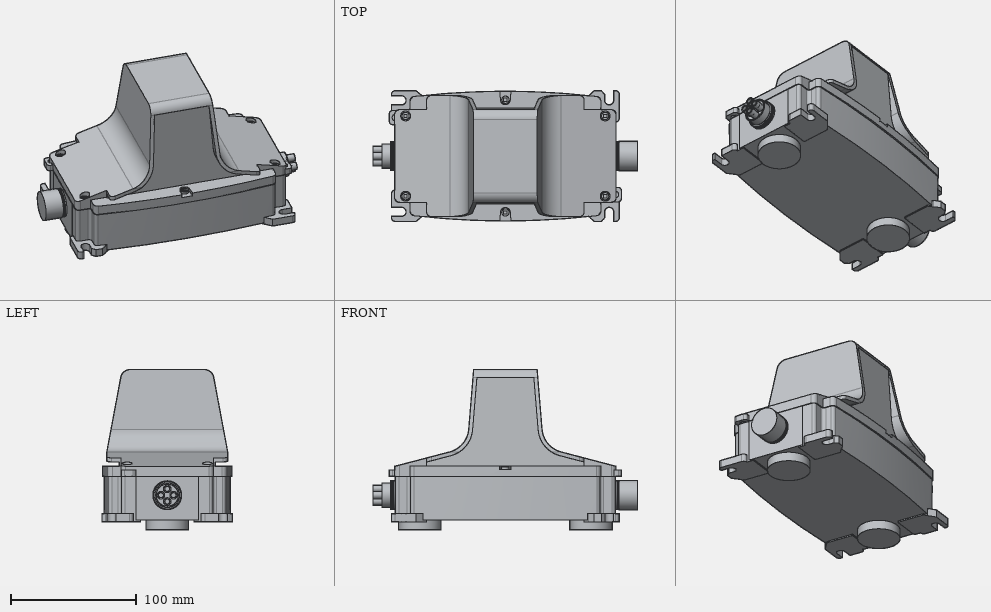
import cadquery as cq
import math

foot_bottom_z = 0.0
pad_bottom_z = 6.4
base_bottom_z = 7.6
pad_top_z = 12.9
base_top_z = 42.5
lug_top_z = 47.6
lid_top_z = 50.7
hood_top_z = 127.5

lid_end_x, lid_end_y = 88.0, 36.9
lid_side_x, lid_side_y = 75.9, 47.0
lid_crown_y = 51.6
lid_corner_radius = 3.8
base_inset = 0.6
base_crown_inset = 1.3
base_corner_radius = 2.8
end_panel_half_width = 25.0
end_panel_height = 0.2

hood_top_half_x = 25.3
hood_wall_angle = 4.7
hood_slope_angle = 14.7
hood_end_z = 50.5
hood_waist_radius = 20.0
hood_flange_x = 62.6
hood_flange_y = 48.1
hood_flange_corner_radius = 3.7
hood_draft_start_z = 62.0
hood_draft_angle = 10.6
hood_crown_radius = 8.0
flange_thickness = 3.2
flange_roof_thickness = 6.6
core_bottom_y, core_top_y = 38.4, 36.8

foot_radius = 17.0
foot_x = 68.0
pad_outer_x, pad_outer_y = 90.6, 52.0
pad_inner_x, pad_inner_y = 62.6, 21.2
pad_end_y = 27.0
pad_corner_radius = 3.0
slot_width = 7.0
slot_x, slot_y = 82.5, 44.3
pad_flank_x, pad_flank_y = 66.2, 48.0
pad_flank_run = 3.0
end_slot_nose_x = 71.0
side_slot_nose_inner_x, side_slot_nose_outer_x = 70.6, 76.3
side_slot_bevel = 3.0

lug_outer_x = 92.3
lug_y = 30.6
lug_width = 11.4
lug_corner_radius = 2.5
lug_hole_x, lug_hole_radius = 87.3, 2.7

screw_recess_radius = 3.9
screw_head_radius = 2.9
socket_width = 2.6
socket_depth = 1.2
corner_screw_x, corner_screw_y = 79.3, 31.9
corner_recess_floor_z = 48.3
side_screw_y = 44.8
side_slot_floor_z = 48.1
side_slot_mouth_half_width = 4.5
screw_head_height = 2.0

connector_z = 27.5
collar_radius = 11.5
collar_groove_radius = 10.9
collar_length = 4.0
collar_groove_width = 0.7
collar_groove_count = 2
sleeve_overlap = 1.0
sleeve_radius = 11.8
sleeve_end_x = 105.1
plug_radius = 9.8
plug_bore_radius = 8.8
plug_bore_depth = 1.0
plug_end_x = -98.2
pin_end_x = -105.3
pin_radius = 3.0
pin_circle_radius = 5.0
pin_count = 4
pin_hole_radius = 2.0
pin_hole_depth = 4.0


def plate(sketch, bottom_z, top_z):
    """Extrude a closed XY outline between two levels."""
    return sketch.extrude(top_z - bottom_z).translate((0, 0, bottom_z))


def box(half_x, half_y, bottom_z, top_z):
    return plate(cq.Workplane("XY").rect(2 * half_x, 2 * half_y), bottom_z, top_z)


def crowned_body(half_x, half_y, crown_y, bottom_z, top_z):
    """Body with straight ends and outward-bowed long sides."""
    outline = (
        cq.Workplane("XY")
        .moveTo(-half_x, -half_y)
        .threePointArc((0, -crown_y), (half_x, -half_y))
        .lineTo(half_x, half_y)
        .threePointArc((0, crown_y), (-half_x, half_y))
        .close()
    )
    return plate(outline, bottom_z, top_z)


def make_base():
    end_x = lid_end_x - base_inset
    side = crowned_body(
        lid_side_x - base_inset,
        lid_side_y - base_inset,
        lid_crown_y - base_crown_inset,
        base_bottom_z,
        base_top_z,
    )
    ends = box(end_x, lid_end_y - base_inset, base_bottom_z, base_top_z)
    base = ends.union(side).edges("|Z").fillet(base_corner_radius)
    panel = box(end_x + end_panel_height, end_panel_half_width, base_bottom_z, base_top_z)
    return base.union(panel)


def make_lid():
    side = crowned_body(lid_side_x, lid_side_y, lid_crown_y, base_top_z, lid_top_z)
    return side.edges("|Z").fillet(lid_corner_radius)


def flared_profile(offset, roof_z):
    """Flared XZ outline of the hood, moved inward by offset, extruded across the part."""
    wall = math.radians(hood_wall_angle)
    slope = math.radians(hood_slope_angle)
    end_z = hood_end_z - offset / math.cos(slope)
    top_x = hood_top_half_x + (hood_top_z - roof_z) * math.tan(wall) - offset / math.cos(wall)
    waist_x = (roof_z - end_z + top_x / math.tan(wall) - lid_end_x * math.tan(slope)) / (
        1 / math.tan(wall) - math.tan(slope)
    )
    waist_z = end_z + (lid_end_x - waist_x) * math.tan(slope)
    points = [
        (-lid_end_x, base_top_z),
        (lid_end_x, base_top_z),
        (lid_end_x, end_z),
        (waist_x, waist_z),
        (top_x, roof_z),
        (-top_x, roof_z),
        (-waist_x, waist_z),
        (-lid_end_x, end_z),
    ]
    solid = cq.Workplane("XZ").polyline(points).close().extrude(lid_crown_y, both=True)
    margin = 1.0
    reach_x, reach_y = waist_x + margin, lid_crown_y + margin
    waist_edges = cq.selectors.BoxSelector(
        (-reach_x, -reach_y, waist_z - margin),
        (reach_x, reach_y, waist_z + margin),
    )
    return solid.edges(waist_edges).edges("|Y").fillet(hood_waist_radius + offset)


def drafted_prism(points):
    """Extrude a YZ outline along the whole hood."""
    return cq.Workplane("YZ").polyline(points).close().extrude(lid_end_x, both=True)


def make_hood():
    outer = flared_profile(0, hood_top_z)

    ends = box(lid_end_x, lid_end_y, base_top_z, hood_top_z)
    ends = ends.edges("|Z").fillet(lid_corner_radius)
    centre = box(hood_flange_x, hood_flange_y, base_top_z, hood_top_z)
    centre = centre.edges("|Z").fillet(hood_flange_corner_radius)

    crown_y = hood_flange_y - (hood_top_z - hood_draft_start_z) * math.tan(math.radians(hood_draft_angle))
    drafted = drafted_prism([
        (-hood_flange_y, base_top_z),
        (hood_flange_y, base_top_z),
        (hood_flange_y, hood_draft_start_z),
        (crown_y, hood_top_z),
        (-crown_y, hood_top_z),
        (-hood_flange_y, hood_draft_start_z),
    ])
    drafted = drafted.edges("|X and >Z").fillet(hood_crown_radius)
    hood = outer.intersect(ends.union(centre)).intersect(drafted)

    core = drafted_prism([
        (-core_bottom_y, base_top_z),
        (core_bottom_y, base_top_z),
        (core_top_y, hood_top_z),
        (-core_top_y, hood_top_z),
    ])
    recess = flared_profile(flange_thickness, hood_top_z - flange_roof_thickness).cut(core)
    return hood.cut(recess)


def pad_slot(direction_x, direction_y):
    """Open-ended slot running outward from the slot centre along one axis."""
    reach = pad_outer_x
    run = cq.Workplane("XY").center(slot_x + direction_x * reach / 2, slot_y + direction_y * reach / 2)
    run = run.rect(
        reach if direction_x else slot_width,
        reach if direction_y else slot_width,
    )
    end = cq.Workplane("XY").center(slot_x, slot_y).circle(slot_width / 2)
    height = pad_top_z - pad_bottom_z
    return run.extrude(height).union(end.extrude(height)).translate((0, 0, pad_bottom_z))


def make_pad(slot, prong_outline):
    """Mounting pad for the +X +Y corner; prong_outline is its edge from outer corner to inner side."""
    points = [
        (pad_inner_x, pad_inner_y),
        (lid_end_x - base_inset, pad_inner_y),
        (lid_end_x - base_inset, pad_end_y),
        (pad_outer_x, pad_end_y),
        (pad_outer_x, pad_outer_y),
    ] + prong_outline
    pad = plate(cq.Workplane("XY").polyline(points).close(), pad_bottom_z, pad_top_z)
    pad = pad.edges("|Z and >X").fillet(pad_corner_radius)
    return pad.cut(slot)


def make_pads():
    flank = [(pad_flank_x, pad_flank_y), (pad_inner_x, pad_flank_y - pad_flank_run)]
    end_slot_prong = [(end_slot_nose_x, pad_outer_y)] + flank
    slot_wall_x = slot_x - slot_width / 2
    side_slot_prong = [
        (slot_wall_x, pad_outer_y),
        (slot_wall_x, pad_outer_y - side_slot_bevel),
        (side_slot_nose_outer_x, pad_outer_y),
        (side_slot_nose_inner_x, pad_outer_y),
    ] + flank
    right = make_pad(pad_slot(0, 1), side_slot_prong)
    left = make_pad(pad_slot(1, 0), end_slot_prong).mirror("YZ")
    pads = right.union(left)
    return pads.union(pads.mirror("XZ"))


def make_feet():
    feet = cq.Workplane("XY").pushPoints([(-foot_x, 0), (foot_x, 0)]).circle(foot_radius)
    return plate(feet, foot_bottom_z, base_bottom_z)


def make_lug():
    """Eyelet lug on the lid end at +X -Y."""
    root_x = lid_end_x - lid_corner_radius
    lug = cq.Workplane("XY").center((root_x + lug_outer_x) / 2, -lug_y).rect(lug_outer_x - root_x, lug_width)
    lug = plate(lug, base_top_z, lug_top_z)
    lug = lug.edges("|Z and >X").fillet(lug_corner_radius)
    hole = cq.Workplane("XY").center(lug_hole_x, -lug_y).circle(lug_hole_radius)
    return lug.cut(plate(hole, base_top_z, lug_top_z))


def cut_corner_recesses(body):
    points = [(sx * corner_screw_x, sy * corner_screw_y) for sx in (-1, 1) for sy in (-1, 1)]
    recess = cq.Workplane("XY").pushPoints(points).circle(screw_recess_radius)
    body = body.cut(plate(recess, corner_recess_floor_z, hood_top_z))
    for x, y in points:
        body = body.union(screw_head(x, y, corner_recess_floor_z))
    return body


def cut_side_slots(body):
    """U-shaped pockets open to the bowed lid sides, each with a screw head."""
    for side in (-1, 1):
        mouth = (
            cq.Workplane("XY")
            .moveTo(-screw_recess_radius, side * side_screw_y)
            .lineTo(screw_recess_radius, side * side_screw_y)
            .lineTo(side_slot_mouth_half_width, side * lid_crown_y)
            .lineTo(-side_slot_mouth_half_width, side * lid_crown_y)
            .close()
        )
        round_end = cq.Workplane("XY").center(0, side * side_screw_y).circle(screw_recess_radius)
        body = body.cut(plate(mouth, side_slot_floor_z, lid_top_z))
        body = body.cut(plate(round_end, side_slot_floor_z, lid_top_z))
        body = body.union(screw_head(0, side * side_screw_y, side_slot_floor_z))
    return body


def screw_head(x, y, floor_z):
    top_z = floor_z + screw_head_height
    head = plate(cq.Workplane("XY").center(x, y).circle(screw_head_radius), floor_z, top_z)
    socket = cq.Workplane("XY").center(x, y).rect(socket_width, socket_width)
    return head.cut(plate(socket, top_z - socket_depth, top_z))


def rod(radius, start_x, end_x, y=0.0, z=connector_z):
    """Cylinder along X between two stations."""
    return cq.Workplane("YZ").center(y, z).circle(radius).extrude(end_x - start_x).translate((start_x, 0, 0))


def make_collar(side):
    """Collar on one end wall, with ridges separated by two grooves."""
    root_x = lid_end_x - lid_corner_radius
    outer_x = lid_end_x - base_inset + collar_length
    collar = rod(collar_radius, root_x, outer_x)
    for groove in range(1, collar_groove_count + 1):
        start_x = outer_x - groove * collar_length / (collar_groove_count + 1)
        end_x = start_x + collar_groove_width
        ring = rod(collar_radius, start_x, end_x).cut(rod(collar_groove_radius, start_x, end_x))
        collar = collar.cut(ring)
    return collar if side > 0 else collar.mirror("YZ")


def make_plug():
    """Four-pin plug on the -X end."""
    plug = rod(plug_radius, plug_end_x, -lid_end_x)
    plug = plug.cut(rod(plug_bore_radius, plug_end_x, plug_end_x + plug_bore_depth))
    for index in range(pin_count):
        angle = 2 * math.pi * index / pin_count
        y = pin_circle_radius * math.cos(angle)
        z = connector_z + pin_circle_radius * math.sin(angle)
        plug = plug.union(rod(pin_radius, pin_end_x, -lid_end_x, y, z))
        plug = plug.cut(rod(pin_hole_radius, pin_end_x, pin_end_x + pin_hole_depth, y, z))
    return plug.union(make_collar(-1))


def make_sleeve():
    """Plain round sleeve on the +X end."""
    start_x = lid_end_x - base_inset + collar_length - sleeve_overlap
    return rod(sleeve_radius, start_x, sleeve_end_x).union(make_collar(1))


body = make_base().union(make_lid()).union(make_hood())
body = body.union(make_pads()).union(make_feet())
lug = make_lug()
body = body.union(lug).union(lug.rotate((0, 0, 0), (0, 0, 1), 180))
body = cut_corner_recesses(body)
body = cut_side_slots(body)
result = body.union(make_plug()).union(make_sleeve())